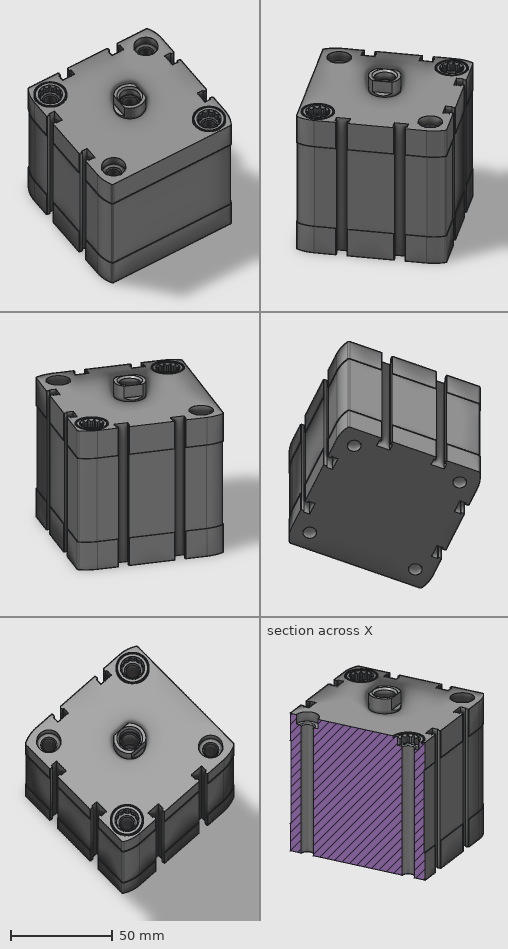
import cadquery as cq
import math

TOTAL_HEIGHT = 82.5
WIDTH = 75.5
ROD_PROTRUSION = 8.0
HOUSING_HEIGHT = TOTAL_HEIGHT - ROD_PROTRUSION
CAP_HEIGHT = 14.85
BARREL_INSET = 0.3
BOLT_SPACING = 56.5

CORNER_RADIUS = 18.8
CORNER_EDGE_FILLET = 1.2

SLOT_SPACING = 29.1
SLOT_OPENING = 5.3
SLOT_POCKET_WIDTH = 6.9
SLOT_DEPTH = 5.1
SLOT_LIP = 1.8
SLOT_RELIEF = 0.25

BOLT_HOLE_DIAMETER = 6.7
BOLT_HOLE_MOUTH = 8.0
COUNTERBORE_DIAMETER = 12.0
COUNTERBORE_DEPTH = 5.0

SOCKET_DEPTH = 4.5
SPLINE_POINTS = 12
TOOTH_CREST_RADIUS = 5.2
TOOTH_CREST_WIDTH = 1.1
TOOTH_TAPER_DEPTH = 1.3
GROOVE_OUTER_DIAMETER = 16.4
GROOVE_INNER_DIAMETER = 15.5
GROOVE_DEPTH = 1.0
ISLAND_CHAMFER = 0.3

ROD_DIAMETER = 16.0
ROD_LENGTH = 33.0
FLAT_WIDTH = 12.8
FLAT_HEIGHT = 6.3
FLAT_RUNOUT_ANGLE = 30.0
ROD_MOUTH_DIAMETER = 12.6
ROD_COUNTERBORE_DIAMETER = 10.5
ROD_COUNTERBORE_DEPTH = 4.95
ROD_THREAD_MOUTH = 9.6
ROD_BORE_DIAMETER = 8.4
ROD_BORE_DEPTH = 20.6
DRILL_TIP_ANGLE = 118.0


def profile_prism(inset, z_bottom, height):
    """Square prism with eased corners, its whole outline set back by inset from the cap outline."""
    half = WIDTH / 2 - inset
    arc_radius = CORNER_RADIUS - inset
    arc_start = BOLT_SPACING / 2

    def arc_point(x):
        return x, half - arc_radius + math.sqrt(arc_radius**2 - (x - arc_start) ** 2)

    end_x, end_y = arc_point(half)
    mid_x, mid_y = arc_point((arc_start + half) / 2)
    return (
        cq.Workplane("XY", origin=(0, 0, z_bottom))
        .moveTo(-arc_start, half)
        .lineTo(arc_start, half)
        .threePointArc((mid_x, mid_y), (end_x, end_y))
        .lineTo(end_x, -end_y)
        .threePointArc((mid_x, -mid_y), (arc_start, -half))
        .lineTo(-arc_start, -half)
        .threePointArc((-mid_x, -mid_y), (-end_x, -end_y))
        .lineTo(-end_x, end_y)
        .threePointArc((-mid_x, mid_y), (-arc_start, half))
        .close()
        .extrude(height)
        .faces("<X or >X")
        .edges("|Z")
        .fillet(CORNER_EDGE_FILLET - inset)
    )


def t_slots(face_angle):
    """Cutter for the two T slots of the face reached by turning the -Y face by face_angle."""
    face = WIDTH / 2
    half_opening = SLOT_OPENING / 2
    half_pocket = SLOT_POCKET_WIDTH / 2
    right_slot = (
        cq.Workplane("XY")
        .polyline(
            [
                (-half_opening - SLOT_RELIEF, -face),
                (-half_opening - SLOT_RELIEF, -face + BARREL_INSET),
                (-half_opening, -face + BARREL_INSET),
                (-half_opening, -face + SLOT_LIP),
                (-half_pocket, -face + SLOT_LIP),
                (-half_pocket, -face + SLOT_DEPTH),
                (half_pocket, -face + SLOT_DEPTH),
                (half_pocket, -face + SLOT_LIP),
                (half_opening, -face + SLOT_LIP),
                (half_opening, -face + BARREL_INSET),
                (half_opening + SLOT_RELIEF, -face + BARREL_INSET),
                (half_opening + SLOT_RELIEF, -face),
            ]
        )
        .close()
        .extrude(HOUSING_HEIGHT)
        .translate((SLOT_SPACING / 2, 0, 0))
    )
    both_slots = right_slot.union(right_slot.mirror("YZ"))
    return both_slots.rotate((0, 0, 0), (0, 0, 1), face_angle)


def turned(points):
    """Solid of revolution about Z from (radius, height) points."""
    return cq.Workplane("XZ").polyline(points).close().revolve(360, (0, 0), (0, 1))


def bolt_hole(recess_depth):
    """Cutter for a through hole whose chamfered mouth opens into the floor of a recess."""
    radius = BOLT_HOLE_DIAMETER / 2
    mouth = BOLT_HOLE_MOUTH / 2
    floor = HOUSING_HEIGHT - recess_depth
    return turned([(0, 0), (radius, 0), (radius, floor - (mouth - radius)), (mouth, floor), (0, floor)])


def counterbore():
    """Cutter for the plain round counterbore."""
    return (
        cq.Workplane("XY", origin=(0, 0, HOUSING_HEIGHT))
        .circle(COUNTERBORE_DIAMETER / 2)
        .extrude(-COUNTERBORE_DEPTH)
    )


def splined_socket():
    """Cutter for the splined socket with its conical lead-in and the ring groove around it."""
    root_radius = COUNTERBORE_DIAMETER / 2
    pitch = 2 * math.pi / SPLINE_POINTS
    crest_half_angle = math.asin(TOOTH_CREST_WIDTH / 2 / TOOTH_CREST_RADIUS)
    outline = []
    for i in range(SPLINE_POINTS):
        root_angle = i * pitch
        crest_angle = root_angle + pitch / 2
        outline += [
            (root_radius, root_angle),
            (TOOTH_CREST_RADIUS, crest_angle - crest_half_angle),
            (TOOTH_CREST_RADIUS, crest_angle + crest_half_angle),
        ]
    top = cq.Workplane("XY", origin=(0, 0, HOUSING_HEIGHT))
    splines = (
        top.polyline([(r * math.cos(a), r * math.sin(a)) for r, a in outline])
        .close()
        .extrude(-SOCKET_DEPTH)
    )
    taper_bottom = HOUSING_HEIGHT - TOOTH_TAPER_DEPTH
    lead_in = turned(
        [
            (0, taper_bottom),
            (TOOTH_CREST_RADIUS, taper_bottom),
            (root_radius, HOUSING_HEIGHT),
            (0, HOUSING_HEIGHT),
        ]
    )
    groove_outer = GROOVE_OUTER_DIAMETER / 2
    island = GROOVE_INNER_DIAMETER / 2
    groove_floor = HOUSING_HEIGHT - GROOVE_DEPTH
    groove = turned(
        [
            (groove_outer, HOUSING_HEIGHT),
            (groove_outer, groove_floor),
            (island, groove_floor),
            (island, HOUSING_HEIGHT - ISLAND_CHAMFER),
            (island - ISLAND_CHAMFER, HOUSING_HEIGHT),
        ]
    )
    return splines.union(lead_in).union(groove)


def make_housing():
    """Barrel between two slightly wider end caps, with T slots, bolt holes and the rod recess."""
    barrel_height = HOUSING_HEIGHT - 2 * CAP_HEIGHT
    housing = profile_prism(BARREL_INSET, CAP_HEIGHT, barrel_height)
    for cap_bottom in (0, HOUSING_HEIGHT - CAP_HEIGHT):
        housing = housing.union(profile_prism(0, cap_bottom, CAP_HEIGHT))

    for face_angle in (0, 180, -90):
        housing = housing.cut(t_slots(face_angle))

    half_spacing = BOLT_SPACING / 2
    splined_corner = bolt_hole(SOCKET_DEPTH).union(splined_socket())
    plain_corner = bolt_hole(COUNTERBORE_DEPTH).union(counterbore())
    for side in (-1, 1):
        housing = housing.cut(splined_corner.translate((side * half_spacing, side * half_spacing, 0)))
        housing = housing.cut(plain_corner.translate((side * half_spacing, -side * half_spacing, 0)))

    rod_recess = (
        cq.Workplane("XY", origin=(0, 0, TOTAL_HEIGHT)).circle(ROD_DIAMETER / 2).extrude(-ROD_LENGTH)
    )
    return housing.cut(rod_recess)


def flat_cutter():
    """Cutter for the wrench flat on the -Y side, with a sloping run-out at its foot."""
    flat_y = -FLAT_WIDTH / 2
    outer_y = -ROD_DIAMETER
    foot_z = TOTAL_HEIGHT - FLAT_HEIGHT
    outer_z = foot_z - (flat_y - outer_y) * math.tan(math.radians(FLAT_RUNOUT_ANGLE))
    return (
        cq.Workplane("YZ")
        .polyline([(flat_y, TOTAL_HEIGHT), (flat_y, foot_z), (outer_y, outer_z), (outer_y, TOTAL_HEIGHT)])
        .close()
        .extrude(ROD_DIAMETER / 2, both=True)
    )


def rod_bore():
    """Cutter for the stepped blind bore: chamfer, counterbore, threaded length and drill tip."""
    mouth = ROD_MOUTH_DIAMETER / 2
    wide = ROD_COUNTERBORE_DIAMETER / 2
    thread_mouth = ROD_THREAD_MOUTH / 2
    bore = ROD_BORE_DIAMETER / 2
    step_z = TOTAL_HEIGHT - ROD_COUNTERBORE_DEPTH
    bore_end = TOTAL_HEIGHT - ROD_BORE_DEPTH
    tip_z = bore_end - bore / math.tan(math.radians(DRILL_TIP_ANGLE / 2))
    return turned(
        [
            (0, TOTAL_HEIGHT),
            (mouth, TOTAL_HEIGHT),
            (wide, TOTAL_HEIGHT - (mouth - wide)),
            (wide, step_z),
            (thread_mouth, step_z),
            (bore, step_z - (thread_mouth - bore)),
            (bore, bore_end),
            (0, tip_z),
        ]
    )


def make_piston_rod():
    """Round rod with two wrench flats and a stepped blind bore in its end."""
    rod = cq.Workplane("XY", origin=(0, 0, TOTAL_HEIGHT)).circle(ROD_DIAMETER / 2).extrude(-ROD_LENGTH)
    for flat_angle in (0, 180):
        rod = rod.cut(flat_cutter().rotate((0, 0, 0), (0, 0, 1), flat_angle))
    return rod.cut(rod_bore())


housing = make_housing()
piston_rod = make_piston_rod()
result = cq.Compound.makeCompound([housing.val(), piston_rod.val()])